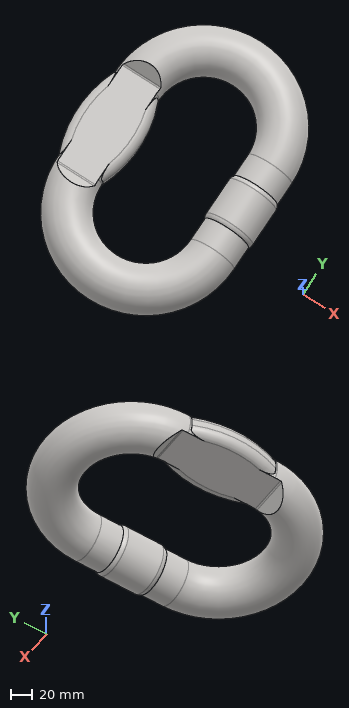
import cadquery as cq
import math

link_length = 299.8
wire_diameter = 50.0
wire_radius = wire_diameter / 2
bend_radius = 75.0
half_straight = link_length / 2 - bend_radius - wire_radius

collar_diameter = 53.7
collar_half_length = 25.0
collar_taper_length = 4.8

grip_thickness = 26.5
flat_half_length = 57.0
flat_corner_radius = 2.5
bulge_half_width = 34.8
bulge_half_length = 48.0
bulge_edge_radius = 9.0


def make_wire_loop():
    path = (
        cq.Workplane("XY")
        .moveTo(bend_radius, -half_straight)
        .lineTo(bend_radius, half_straight)
        .threePointArc((0, half_straight + bend_radius), (-bend_radius, half_straight))
        .lineTo(-bend_radius, -half_straight)
        .threePointArc((0, -half_straight - bend_radius), (bend_radius, -half_straight))
        .close()
    )
    section = cq.Workplane("XZ", origin=(bend_radius, -half_straight, 0)).circle(wire_radius)
    return section.sweep(path)


def make_collar():
    """Sleeve whose ends taper down to the wire along a rounded profile."""
    collar_radius = collar_diameter / 2
    step = collar_radius - wire_radius
    land = collar_half_length - collar_taper_length
    shoulder_radius = (collar_taper_length**2 + step**2) / (2 * step)
    half_angle = math.asin(collar_taper_length / shoulder_radius) / 2
    mid_y = land + shoulder_radius * math.sin(half_angle)
    mid_r = collar_radius - shoulder_radius * (1 - math.cos(half_angle))
    return (
        cq.Workplane("XY", origin=(bend_radius, 0, 0))
        .moveTo(0, -collar_half_length)
        .lineTo(wire_radius, -collar_half_length)
        .threePointArc((mid_r, -mid_y), (collar_radius, -land))
        .lineTo(collar_radius, land)
        .threePointArc((mid_r, mid_y), (wire_radius, collar_half_length))
        .lineTo(0, collar_half_length)
        .close()
        .revolve(360, (0, 0, 0), (0, 1, 0))
    )


def make_flat_cutter():
    """Upper pocket with 45 degree end ramps; it leaves the grip's flat face."""
    floor = grip_thickness / 2
    depth = collar_diameter / 2
    width = 4 * bulge_half_width
    cutter = (
        cq.Workplane("YZ", origin=(-bend_radius, 0, 0))
        .moveTo(-flat_half_length, floor)
        .lineTo(flat_half_length, floor)
        .lineTo(flat_half_length + depth, floor + depth)
        .lineTo(-flat_half_length - depth, floor + depth)
        .close()
        .extrude(width / 2, both=True)
    )
    return cutter.edges("|X and <Z").fillet(flat_corner_radius)


def make_bulge():
    """Plate with bowed, rounded sides that meets the wire just inside the ends of the leg."""
    return (
        cq.Workplane("XY", origin=(-bend_radius, 0, -grip_thickness / 2))
        .moveTo(-wire_radius, -bulge_half_length)
        .lineTo(wire_radius, -bulge_half_length)
        .threePointArc((bulge_half_width, 0), (wire_radius, bulge_half_length))
        .lineTo(-wire_radius, bulge_half_length)
        .threePointArc((-bulge_half_width, 0), (-wire_radius, -bulge_half_length))
        .close()
        .extrude(grip_thickness)
        .edges("%CIRCLE")
        .fillet(bulge_edge_radius)
    )


flat_cutter = make_flat_cutter()
result = (
    make_wire_loop()
    .cut(flat_cutter)
    .cut(flat_cutter.mirror("XY"))
    .union(make_bulge())
    .union(make_collar())
)